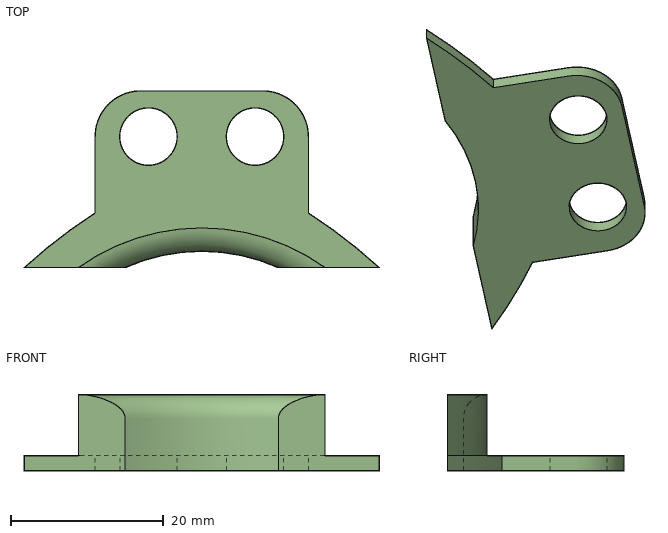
import cadquery as cq
import math

length = 46.6
depth = 23.2
height = 10.0
plate_thickness = 2.0
tab_width = 28.0
corner_radius = 6.0
hole_diameter = 7.5
hole_spacing = 14.0

axis_y = -22.5
collar_outer_radius = 27.7
collar_wall = 3.07
collar_inner_radius = collar_outer_radius - collar_wall

wing_height = 7.17
wing_edge_radius = 69.9


def make_plate():
    """Two wings and a rounded tab, with two holes level with the corner round centres."""
    wings = (
        cq.Workplane("XY")
        .moveTo(-length / 2, 0)
        .lineTo(length / 2, 0)
        .radiusArc((tab_width / 2, wing_height), -wing_edge_radius)
        .lineTo(-tab_width / 2, wing_height)
        .radiusArc((-length / 2, 0), -wing_edge_radius)
        .close()
        .extrude(plate_thickness)
    )
    tab = (
        cq.Workplane("XY")
        .rect(tab_width, 2 * depth)
        .extrude(plate_thickness)
        .edges("|Z")
        .fillet(corner_radius)
    )
    holes = (
        cq.Workplane("XY")
        .pushPoints([(side * hole_spacing / 2, depth - corner_radius) for side in (-1, 1)])
        .circle(hole_diameter / 2)
        .extrude(plate_thickness)
    )
    bore = cq.Workplane("XY").center(0, axis_y).circle(collar_inner_radius).extrude(plate_thickness)
    return wings.union(tab).cut(holes).cut(bore)


def make_collar():
    """Ring whose top rounds over the whole wall, down to the bore."""
    round_start = height - collar_wall
    diagonal = collar_wall * math.sqrt(0.5)
    profile = (
        cq.Workplane("XZ", origin=(0, axis_y, 0))
        .moveTo(collar_inner_radius, 0)
        .lineTo(collar_outer_radius, 0)
        .lineTo(collar_outer_radius, height)
        .threePointArc(
            (collar_outer_radius - diagonal, round_start + diagonal),
            (collar_inner_radius, round_start),
        )
        .close()
    )
    return profile.revolve(360, (0, 0, 0), (0, 1, 0))


kept_side = cq.Workplane("XY").box(length, depth, height, centered=(True, False, False))
result = make_plate().union(make_collar()).intersect(kept_side)